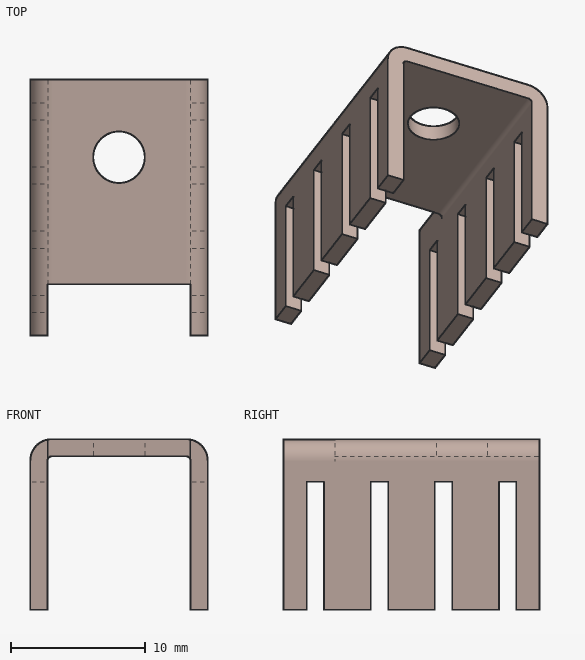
import cadquery as cq

width = 13.2
length = 19.05
height = 12.7

sheet = 1.29
inner_bend_radius = 0.32
outer_bend_radius = inner_bend_radius + sheet

notch_length = 3.81

hole_diameter = 3.81
hole_from_back = 5.79

slot_count = 4
slot_width = 1.27
slot_height = 9.525
slot_pitch = length / slot_count

inner_width = width - 2 * sheet
front_y = -length / 2
back_y = length / 2


def block(size_x, size_y, size_z, y_min):
    """Box centred on X, standing on Z = 0, starting at y_min."""
    return (
        cq.Workplane("XY")
        .box(size_x, size_y, size_z, centered=(True, False, False))
        .translate((0, y_min, 0))
    )


def make_channel():
    """U-shaped channel, open downward, with rounded bends."""
    outer = block(width, length, height, front_y)
    outer = outer.edges("|Y and >Z").fillet(outer_bend_radius)
    inner = block(inner_width, length, height - sheet, front_y)
    inner = inner.edges("|Y and >Z").fillet(inner_bend_radius)
    return outer.cut(inner)


def make_notch():
    """Cutter that removes the web between the walls at the -Y end."""
    return block(inner_width, notch_length, height, front_y)


def make_hole():
    """Cutter for the mounting hole through the web."""
    hole = cq.Workplane("XY").circle(hole_diameter / 2).extrude(height)
    return hole.translate((0, back_y - hole_from_back, 0))


def make_slot(index):
    """Cutter for one slot through both walls, open at the bottom."""
    slot_center_y = front_y + (index + 0.5) * slot_pitch
    return block(width, slot_width, slot_height, slot_center_y - slot_width / 2)


result = make_channel().cut(make_notch()).cut(make_hole())
for slot_index in range(slot_count):
    result = result.cut(make_slot(slot_index))